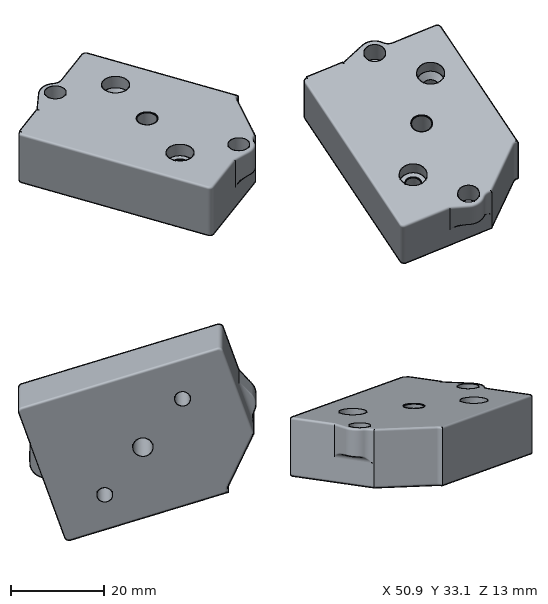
import cadquery as cq
import math

left_x = -22.8
right_x = 23.55
front_y = -17.0
back_y = 16.15
height = 13.0
corner_radius = 1.0
edge_radius = 0.5

cut_top_x = 14.05
cut_straight = 0.9
cut_end_y = 4.75
cut_fillet = 1.0

lug_x = 21.85
lug_radius = 3.6
lug_blend_radius = 2.25
lug_taper_angle = math.radians(22)
lug_depth = 6.25
lug_root_radius = 1.2
lug_edge_radius = 0.3
selection_margin = 0.05

lug_hole_diameter = 4.7
lug_hole_depth = 5.1
center_diameter = 4.4
center_chamfer = 0.15
screw_diameter = 3.4
screw_head_diameter = 6.0
screw_head_depth = 3.05
screw_chamfer = 0.15
countersunk_position = (-11.35, 8.1)
counterbored_position = (11.7, -8.15)


def make_block():
    """Rectangular block with rounded corners and one corner cut off."""
    block = (
        cq.Workplane("XY")
        .moveTo(left_x, front_y)
        .lineTo(right_x, front_y)
        .lineTo(right_x, cut_end_y)
        .lineTo(cut_top_x, back_y - cut_straight)
        .lineTo(cut_top_x, back_y)
        .lineTo(left_x, back_y)
        .close()
        .extrude(height)
    )
    block = block.edges("|Z and <X").fillet(corner_radius)
    block = block.edges("|Z and >X").edges("<Y").fillet(corner_radius)
    inner_corner = cq.selectors.NearestToPointSelector((cut_top_x, back_y - cut_straight, height / 2))
    return block.edges("|Z").edges(inner_corner).fillet(cut_fillet)


taper_start = (
    lug_x + lug_radius * math.cos(lug_taper_angle),
    -lug_radius * math.sin(lug_taper_angle),
)


def taper_end(wall):
    """Y where the straight taper reaches a side wall at distance `wall` from the centre."""
    return taper_start[1] - (taper_start[0] - wall) / math.tan(lug_taper_angle)


def make_lug(wall):
    """Lug on the +X side, blended into the wall behind and tapered in front."""
    blend_x = wall + lug_blend_radius
    center_distance = lug_radius + lug_blend_radius
    blend_y = math.sqrt(center_distance**2 - (blend_x - lug_x) ** 2)
    blend_ratio = lug_radius / center_distance
    tangent_back = (lug_x + (blend_x - lug_x) * blend_ratio, blend_y * blend_ratio)
    blend_angle = math.atan2(blend_y, blend_x - lug_x)
    mid_angle = math.pi + blend_angle / 2
    blend_mid = (
        blend_x + lug_blend_radius * math.cos(mid_angle),
        blend_y + lug_blend_radius * math.sin(mid_angle),
    )
    taper_end_y = taper_end(wall)
    inside_x = wall - corner_radius

    outline = (
        cq.Workplane("XY")
        .moveTo(inside_x, taper_end_y)
        .lineTo(wall, taper_end_y)
        .lineTo(*taper_start)
        .threePointArc((lug_x + lug_radius, 0), tangent_back)
        .threePointArc(blend_mid, (wall, blend_y))
        .lineTo(inside_x, blend_y)
        .close()
        .extrude(height)
    )
    underside = height - lug_depth
    tip_x = lug_x + lug_radius
    profile = (
        cq.Workplane("XZ")
        .moveTo(inside_x, height)
        .lineTo(tip_x, height)
        .lineTo(tip_x, underside)
        .lineTo(wall + lug_root_radius, underside)
        .radiusArc((wall, underside - lug_root_radius), -lug_root_radius)
        .lineTo(inside_x, underside - lug_root_radius)
        .close()
        .extrude(back_y, both=True)
    )
    lug = outline.intersect(profile)
    rim = cq.selectors.BoxSelector(
        (wall + lug_root_radius, taper_end_y, underside - selection_margin),
        (tip_x, blend_y, underside + selection_margin),
    )
    return lug.edges(rim).edges("not |Y").fillet(lug_edge_radius)


def cylinder(position, diameter, bottom, top):
    """Vertical cylinder used to cut a hole."""
    return cq.Workplane("XY", origin=(*position, bottom)).circle(diameter / 2).extrude(top - bottom)


def cone(position, bottom, bottom_diameter, top, top_diameter):
    """Vertical truncated cone used to cut a chamfer or a countersink."""
    solid = cq.Solid.makeCone(
        bottom_diameter / 2, top_diameter / 2, top - bottom, pnt=cq.Vector(*position, bottom)
    )
    return cq.Workplane(obj=solid)


block = make_block()
block = block.union(make_lug(right_x))
block = block.union(make_lug(-left_x).mirror("YZ"))
block = block.faces("<Z").edges().fillet(edge_radius)

block = block.faces(">Z").edges().fillet(edge_radius)
sharp_start_y = front_y + corner_radius
sharp_length = taper_end(-left_x) - sharp_start_y
sharp_strip = cq.Workplane("XY").box(edge_radius, sharp_length, edge_radius, centered=False)
block = block.union(sharp_strip.translate((left_x, sharp_start_y, height - edge_radius)))

for hole_x in (-lug_x, lug_x):
    block = block.cut(cylinder((hole_x, 0), lug_hole_diameter, height - lug_hole_depth, height))

block = block.cut(cylinder((0, 0), center_diameter, 0, height))
block = block.cut(
    cone((0, 0), height - center_chamfer, center_diameter, height, center_diameter + 2 * center_chamfer)
)

head_floor = height - screw_head_depth
for position in (countersunk_position, counterbored_position):
    block = block.cut(cylinder(position, screw_diameter, 0, height))
    block = block.cut(cylinder(position, screw_head_diameter, head_floor, height))
countersink_depth = (screw_head_diameter - screw_diameter) / 2
block = block.cut(
    cone(countersunk_position, head_floor - countersink_depth, screw_diameter, head_floor, screw_head_diameter)
)
block = block.cut(
    cone(counterbored_position, head_floor - screw_chamfer, screw_diameter,
         head_floor, screw_diameter + 2 * screw_chamfer)
)

result = block